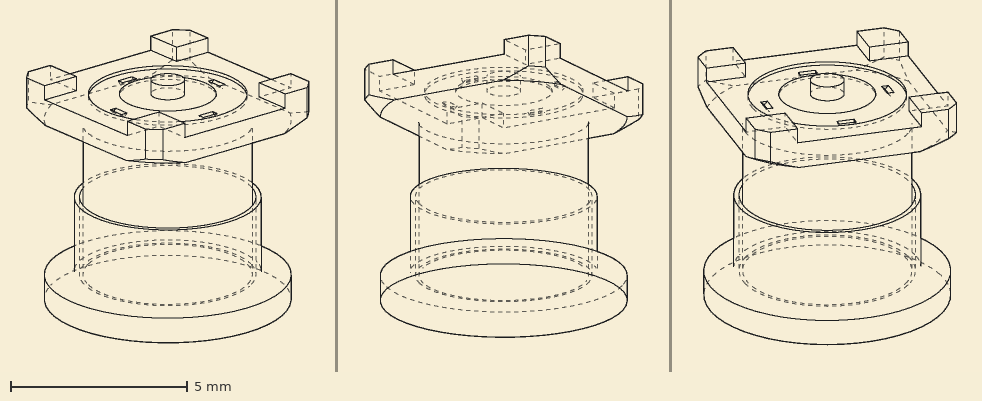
import cadquery as cq
import math

flange_radius = 3.5
flange_thickness = 0.75
sleeve_radius = 2.65
sleeve_bore_radius = 2.5
sleeve_top = 3.1
sleeve_base_fillet = 0.13

plunger_top = 6.65
barrel_radius = 2.4
barrel_head_fillet = 0.2
head_width = 6.0
head_corner_radius = 4.0
head_height = 1.2
corner_block_height = 0.43
corner_block_gap = 3.68
head_face = plunger_top - corner_block_height
head_bottom = plunger_top - head_height
underside_flat_radius = 3.5
underside_bevel_angle = 30.0

recess_radius = 2.25
recess_depth = 0.1
recess_floor = head_face - recess_depth
disc_radius = 1.375
disc_height = 0.1
disc_base_fillet = 0.05
pin_radius = 0.48

groove_count = 4
groove_length = 0.5
groove_width = 0.2
groove_depth = groove_width / 2
groove_distance = 1.8


def disc(radius, bottom, top):
    """Upright cylinder on the Z axis."""
    return cq.Workplane("XY").workplane(offset=bottom).circle(radius).extrude(top - bottom)


def make_sleeve():
    """Flange and wall turned in one profile, with the fillet where they meet."""
    return (
        cq.Workplane("XZ")
        .lineTo(flange_radius, 0)
        .lineTo(flange_radius, flange_thickness)
        .lineTo(sleeve_radius + sleeve_base_fillet, flange_thickness)
        .radiusArc((sleeve_radius, flange_thickness + sleeve_base_fillet), sleeve_base_fillet)
        .lineTo(sleeve_radius, sleeve_top)
        .lineTo(sleeve_bore_radius, sleeve_top)
        .lineTo(sleeve_bore_radius, flange_thickness)
        .lineTo(0, flange_thickness)
        .close()
        .revolve(360, (0, 0, 0), (0, 1, 0))
    )


def make_head_envelope():
    """Turned blank that rounds the head corners and bevels their underside."""
    bevel_height = (head_corner_radius - underside_flat_radius) * math.tan(math.radians(underside_bevel_angle))
    return (
        cq.Workplane("XZ")
        .moveTo(0, head_bottom)
        .lineTo(underside_flat_radius, head_bottom)
        .lineTo(head_corner_radius, head_bottom + bevel_height)
        .lineTo(head_corner_radius, plunger_top)
        .lineTo(0, plunger_top)
        .close()
        .revolve(360, (0, 0, 0), (0, 1, 0))
    )


def make_head():
    """Square head with a raised block in each corner."""
    head = (
        cq.Workplane("XY")
        .workplane(offset=head_bottom)
        .rect(head_width, head_width)
        .extrude(plunger_top - head_bottom)
    )
    for size_x, size_y in ((head_width, corner_block_gap), (corner_block_gap, head_width)):
        channel = (
            cq.Workplane("XY")
            .workplane(offset=head_face)
            .rect(size_x, size_y)
            .extrude(corner_block_height)
        )
        head = head.cut(channel)
    return head.intersect(make_head_envelope())


def make_barrel():
    """Barrel that flares with a fillet into the underside of the head."""
    return (
        cq.Workplane("XZ")
        .moveTo(0, flange_thickness)
        .lineTo(barrel_radius, flange_thickness)
        .lineTo(barrel_radius, head_bottom - barrel_head_fillet)
        .radiusArc((barrel_radius + barrel_head_fillet, head_bottom), barrel_head_fillet)
        .lineTo(0, head_bottom)
        .close()
        .revolve(360, (0, 0, 0), (0, 1, 0))
    )


def make_contact():
    """Disc with a filleted foot on the recess floor, and the pin on top of it."""
    raised_disc = (
        cq.Workplane("XZ")
        .moveTo(0, recess_floor)
        .lineTo(disc_radius + disc_base_fillet, recess_floor)
        .radiusArc((disc_radius, recess_floor + disc_base_fillet), disc_base_fillet)
        .lineTo(disc_radius, recess_floor + disc_height)
        .lineTo(0, recess_floor + disc_height)
        .close()
        .revolve(360, (0, 0, 0), (0, 1, 0))
    )
    return raised_disc.union(disc(pin_radius, recess_floor, plunger_top))


def make_groove(angle):
    """V-shaped cutter, long side tangential, turned to its angle about Z."""
    return (
        cq.Workplane("XZ")
        .moveTo(groove_distance - groove_width / 2, recess_floor)
        .lineTo(groove_distance, recess_floor - groove_depth)
        .lineTo(groove_distance + groove_width / 2, recess_floor)
        .close()
        .extrude(groove_length / 2, both=True)
        .rotate((0, 0, 0), (0, 0, 1), angle)
    )


def make_plunger():
    body = make_head().union(make_barrel())
    body = body.cut(disc(recess_radius, recess_floor, head_face))
    body = body.union(make_contact())
    for index in range(groove_count):
        body = body.cut(make_groove(index * 360 / groove_count))
    return body


sleeve = make_sleeve()
plunger = make_plunger()

result = cq.Compound.makeCompound([sleeve.val(), plunger.val()])